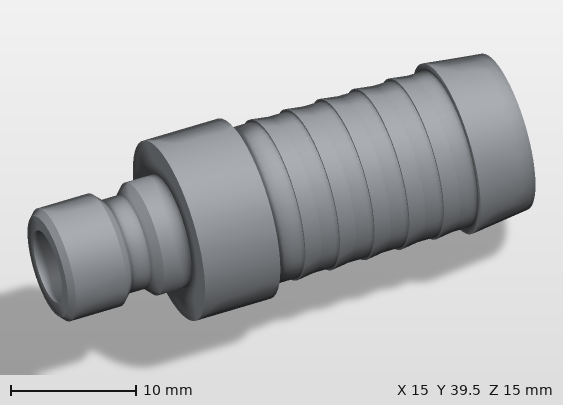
import cadquery as cq


collar_radius = 7.5
collar_length = 6.5

plug_radius = 4.7
plug_length = 10.5
plug_chamfer = 0.5

groove_radius = 3.9
groove_offset = 2.4
groove_flank = 0.8
groove_floor = 1.6

shank_radius = 6.5
tail_length = 22.5
barb_radius = 7.1
barb_length = 5.0

ridge_radius = 6.7
ridge_length = 1.5
ridge_pitch = 3.0
ridge_count = 5
first_ridge_offset = 2.5

bore_radius = 3.0

plug_end = -plug_length
tail_start = collar_length
tail_end = tail_start + tail_length


def turned(profile):
    """Revolve a closed list of (radius, y) points about the Y axis."""
    return cq.Workplane("XY").polyline(profile).close().revolve(360, (0, 0), (0, 1))


def make_body():
    """Plug with end chamfer, collar and plain hose tail."""
    return turned([
        (0, plug_end),
        (plug_radius - plug_chamfer, plug_end),
        (plug_radius, plug_end + plug_chamfer),
        (plug_radius, 0),
        (collar_radius, 0),
        (collar_radius, collar_length),
        (shank_radius, collar_length),
        (shank_radius, tail_end),
        (0, tail_end),
    ])


def make_groove():
    """Ring of material removed to form the locking groove."""
    top = -groove_offset
    floor_top = top - groove_flank
    floor_bottom = floor_top - groove_floor
    bottom = floor_bottom - groove_flank
    return turned([
        (plug_radius, top),
        (groove_radius, floor_top),
        (groove_radius, floor_bottom),
        (plug_radius, bottom),
    ])


def make_barb(base_y, length, tip_radius):
    """Cone that is widest at base_y and tapers to the shank towards +Y."""
    return turned([
        (0, base_y),
        (tip_radius, base_y),
        (shank_radius, base_y + length),
        (0, base_y + length),
    ])


def make_bore():
    """Cylinder along the full length of the part."""
    return turned([
        (0, plug_end),
        (bore_radius, plug_end),
        (bore_radius, tail_end),
        (0, tail_end),
    ])


result = make_body().cut(make_groove())
result = result.union(make_barb(tail_end - barb_length, barb_length, barb_radius))
for index in range(ridge_count):
    ridge_y = tail_start + first_ridge_offset + index * ridge_pitch
    result = result.union(make_barb(ridge_y, ridge_length, ridge_radius))
result = result.cut(make_bore())